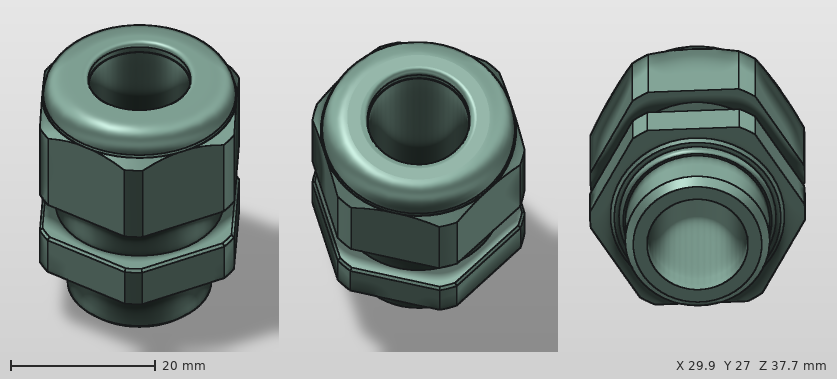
import cadquery as cq
import math

total_height = 37.7
across_flats = 27.0

nut_bottom = 20.9
nut_corner_diameter = 29.8
nut_chamfer_bottom = 32.72
nut_chamfer_top = 33.9
nut_chamfer_top_diameter = 27.15
dome_radius = 3.45
dome_diameter = 26.7
dome_bottom = total_height - dome_radius

neck_diameter = 23.35

body_bottom = 8.95
body_top = 14.93
body_corner_diameter = 29.85
body_edge_chamfer = 0.38

seat_bottom = 8.52
seat_top_diameter = 24.13
seat_bottom_diameter = 23.1
ring_bottom = 7.55
ring_diameter = 21.8
ring_face_diameter = 20.62

spigot_diameter = 20.0
spigot_chamfer = 1.1

bore_diameter = 14.0
mouth_diameter = 14.2
mouth_rim_diameter = 16.2
mouth_round_depth = 0.7
mouth_depth = 1.6


def cylinder(diameter, bottom, top):
    return cq.Workplane("XY").workplane(offset=bottom).circle(diameter / 2).extrude(top - bottom)


def cone(bottom_diameter, top_diameter, bottom, top):
    return (
        cq.Workplane("XY")
        .workplane(offset=bottom)
        .circle(bottom_diameter / 2)
        .workplane(offset=top - bottom)
        .circle(top_diameter / 2)
        .loft(ruled=True)
    )


def rounded_hexagon(corner_diameter, bottom, top):
    """Hexagonal prism whose six corners are turned down to a cylinder."""
    sharp_corner_diameter = across_flats / math.cos(math.pi / 6)
    prism = (
        cq.Workplane("XY")
        .workplane(offset=bottom)
        .polygon(6, sharp_corner_diameter)
        .extrude(top - bottom)
    )
    return prism.intersect(cylinder(corner_diameter, bottom, top))


def revolved(half_profile):
    """Turn a closed XZ half profile about the Z axis."""
    return half_profile.revolve(360, (0, 0), (0, 1))


def tangent_arc_middle(run, bend):
    """Middle of an arc that sets off straight, ending `run` ahead and `bend` aside."""
    angle = 2 * math.atan(bend / run)
    radius = run / math.sin(angle)
    return radius * math.sin(angle / 2), radius * (1 - math.cos(angle / 2))


def clamping_nut():
    envelope = cylinder(nut_corner_diameter, nut_bottom, nut_chamfer_bottom).union(
        cone(nut_corner_diameter, nut_chamfer_top_diameter, nut_chamfer_bottom, nut_chamfer_top)
    )
    hexagon = rounded_hexagon(nut_corner_diameter, nut_bottom, nut_chamfer_top).intersect(envelope)
    shoulder = cone(across_flats, dome_diameter, nut_chamfer_top, dome_bottom)
    flat_radius = dome_diameter / 2 - dome_radius
    arc_reach = dome_radius * math.sqrt(0.5)
    dome = revolved(
        cq.Workplane("XZ")
        .moveTo(0, dome_bottom)
        .lineTo(dome_diameter / 2, dome_bottom)
        .threePointArc((flat_radius + arc_reach, dome_bottom + arc_reach), (flat_radius, total_height))
        .lineTo(0, total_height)
        .close()
    )
    return hexagon.union(shoulder).union(dome)


def sealing_ring():
    """Ring whose side starts vertical at the seat and curls inwards to its lower face."""
    ring_height = seat_bottom - ring_bottom
    ring_curl = (ring_diameter - ring_face_diameter) / 2
    downward, inward = tangent_arc_middle(ring_height, ring_curl)
    return revolved(
        cq.Workplane("XZ")
        .moveTo(0, seat_bottom)
        .lineTo(ring_diameter / 2, seat_bottom)
        .threePointArc(
            (ring_diameter / 2 - inward, seat_bottom - downward),
            (ring_face_diameter / 2, ring_bottom),
        )
        .lineTo(0, ring_bottom)
        .close()
    )


def body():
    hexagon = rounded_hexagon(body_corner_diameter, body_bottom, body_top)
    hexagon = hexagon.faces(">Z").chamfer(body_edge_chamfer)
    neck = cylinder(neck_diameter, body_top, nut_bottom)
    seat = cone(seat_bottom_diameter, seat_top_diameter, seat_bottom, body_bottom)
    spigot = cylinder(spigot_diameter, 0, ring_bottom).faces("<Z").chamfer(spigot_chamfer)
    return hexagon.union(neck).union(seat).union(sealing_ring()).union(spigot)


def bore():
    hole = cylinder(bore_diameter, 0, total_height)
    mouth = cylinder(mouth_diameter, total_height - mouth_depth, total_height)
    rim_width = (mouth_rim_diameter - mouth_diameter) / 2
    inward, downward = tangent_arc_middle(rim_width, mouth_round_depth)
    rim = revolved(
        cq.Workplane("XZ")
        .moveTo(0, total_height)
        .lineTo(mouth_rim_diameter / 2, total_height)
        .threePointArc(
            (mouth_rim_diameter / 2 - inward, total_height - downward),
            (mouth_diameter / 2, total_height - mouth_round_depth),
        )
        .lineTo(0, total_height - mouth_round_depth)
        .close()
    )
    return hole.union(mouth).union(rim)


result = body().union(clamping_nut()).cut(bore())